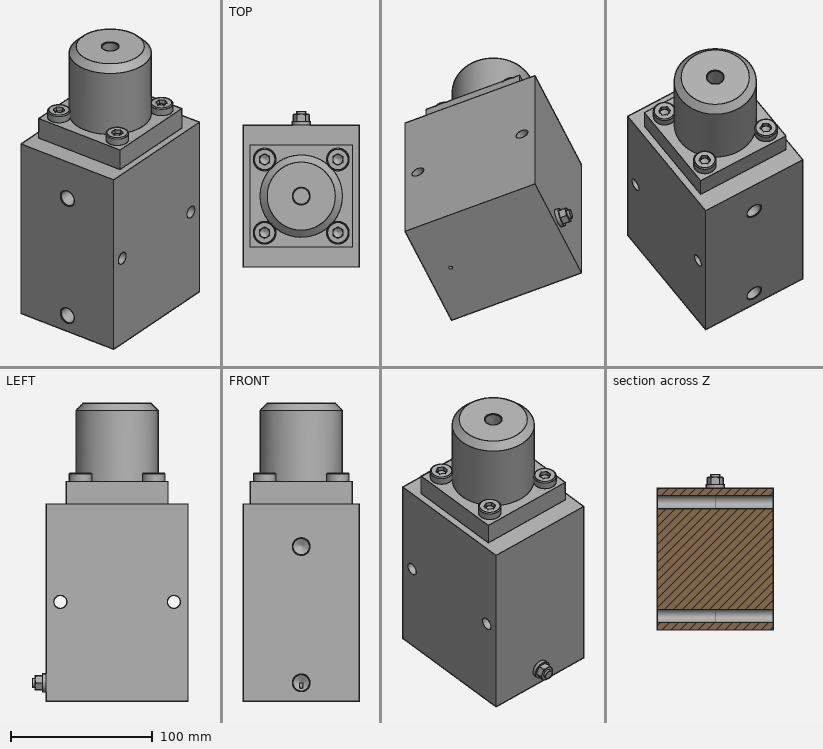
import cadquery as cq
import math

block_width = 82.0
block_depth = 100.0
block_height = 139.0
back_face = block_depth / 2
front_face = -block_depth / 2

mount_hole_diameter = 9.0
mount_hole_spacing = 80.0
mount_hole_height = 70.0

port_diameter = 11.5
port_mouth_diameter = 12.5
port_depth = 15.0
port_mouth_depth = 0.5
port_a_height = 13.0
port_b_height = 109.0
drill_point_angle = 118.0

passage_diameter = 2.5
passage_offset = 2.2
passage_y = front_face + port_depth + passage_offset

flange_size = 72.0
flange_thickness = 16.0
flange_top = block_height + flange_thickness
cap_diameter = 58.0
cap_height = 55.0
cap_top = flange_top + cap_height
cap_chamfer = 5.0
cap_hole_diameter = 11.5
cap_hole_mouth_diameter = 12.5
cap_hole_depth = 15.0

screw_spacing = 51.6
screw_head_diameter = 16.0
screw_head_height = 6.0
screw_head_chamfer = 0.8
socket_across_flats = 7.0
socket_depth = 3.0

plug_collar_diameter = 13.0
plug_collar_length = 2.7
plug_hex_across_flats = 10.0
plug_hex_length = 5.0
plug_hex_chamfer = 0.6
plug_stud_diameter = 6.4
plug_stud_length = 2.0


def corner_diameter(across_flats):
    """Distance across the corners of a regular hexagon."""
    return across_flats / math.cos(math.pi / 6)


def drill_point_length(diameter):
    """Length of the cone left by a drill of this diameter."""
    return diameter / 2 / math.tan(math.radians(drill_point_angle / 2))


def revolve_profile(points):
    """Revolve (radius, height) points about the Z axis."""
    return cq.Workplane("XZ").polyline(points).close().revolve(360, (0, 0), (0, 1))


def port_cutter(height):
    """Drilled port with a chamfered mouth and conical bottom, running along +Y."""
    radius = port_diameter / 2
    mouth_radius = port_mouth_diameter / 2
    cutter = revolve_profile([
        (0, 0),
        (mouth_radius, 0),
        (radius, -port_mouth_depth),
        (radius, -port_depth),
        (0, -port_depth - drill_point_length(port_diameter)),
    ])
    return cutter.rotate((0, 0, 0), (1, 0, 0), 90).translate((0, front_face, height))


def make_block():
    block = cq.Workplane("XY").box(block_width, block_depth, block_height, centered=(True, True, False))
    mount_holes = (
        cq.Workplane("YZ")
        .pushPoints([(side * mount_hole_spacing / 2, mount_hole_height) for side in (-1, 1)])
        .circle(mount_hole_diameter / 2)
        .extrude(block_width / 2, both=True)
    )
    block = block.cut(mount_holes)
    for height in (port_a_height, port_b_height):
        block = block.cut(port_cutter(height))
    passage = (
        cq.Workplane("XY")
        .center(0, passage_y)
        .circle(passage_diameter / 2)
        .extrude(port_a_height)
    )
    return block.cut(passage)


def make_bonnet():
    flange = (
        cq.Workplane("XY", origin=(0, 0, block_height))
        .rect(flange_size, flange_size)
        .extrude(flange_thickness)
    )
    cap = (
        cq.Workplane("XY", origin=(0, 0, flange_top))
        .circle(cap_diameter / 2)
        .extrude(cap_height)
        .faces(">Z")
        .chamfer(cap_chamfer)
    )
    hole_radius = cap_hole_diameter / 2
    mouth_radius = cap_hole_mouth_diameter / 2
    hole = revolve_profile([
        (0, 0),
        (mouth_radius, 0),
        (hole_radius, hole_radius - mouth_radius),
        (hole_radius, -cap_hole_depth),
        (0, -cap_hole_depth),
    ]).translate((0, 0, cap_top))
    return flange.union(cap).cut(hole)


def make_screw(x, y):
    """Screw head with a hexagon socket that ends in a conical bottom."""
    head = (
        cq.Workplane("XY")
        .circle(screw_head_diameter / 2)
        .extrude(screw_head_height)
        .faces(">Z")
        .chamfer(screw_head_chamfer)
    )
    socket_corners = corner_diameter(socket_across_flats)
    socket_floor = screw_head_height - socket_depth
    socket = (
        cq.Workplane("XY", origin=(0, 0, socket_floor))
        .polygon(6, socket_corners)
        .extrude(socket_depth)
        .rotate((0, 0, 0), (0, 0, 1), 30)
    )
    point = revolve_profile([
        (0, socket_floor),
        (socket_across_flats / 2, socket_floor),
        (0, socket_floor - drill_point_length(socket_across_flats)),
    ])
    return head.cut(socket).cut(point).translate((x, y, flange_top))


def make_plug():
    """Collar, hexagon and stud stacked along +Y from the back face."""
    collar = cq.Workplane("XY").circle(plug_collar_diameter / 2).extrude(plug_collar_length)
    hex_corners = corner_diameter(plug_hex_across_flats)
    hexagon = (
        cq.Workplane("XY", origin=(0, 0, plug_collar_length))
        .polygon(6, hex_corners)
        .extrude(plug_hex_length)
    )
    hex_envelope = (
        cq.Workplane("XY", origin=(0, 0, plug_collar_length))
        .circle(hex_corners / 2)
        .extrude(plug_hex_length)
        .faces(">Z")
        .chamfer(plug_hex_chamfer)
    )
    stud = (
        cq.Workplane("XY", origin=(0, 0, plug_collar_length + plug_hex_length))
        .circle(plug_stud_diameter / 2)
        .extrude(plug_stud_length)
    )
    plug = collar.union(hexagon.intersect(hex_envelope)).union(stud)
    return plug.rotate((0, 0, 0), (1, 0, 0), -90).translate((0, back_face, port_a_height))


block = make_block()
bonnet = make_bonnet()
screws = [
    make_screw(x_side * screw_spacing / 2, y_side * screw_spacing / 2)
    for x_side in (-1, 1)
    for y_side in (-1, 1)
]
plug = make_plug()

result = cq.Compound.makeCompound([
    block.val(),
    bonnet.val(),
    *[screw.val() for screw in screws],
    plug.val(),
])